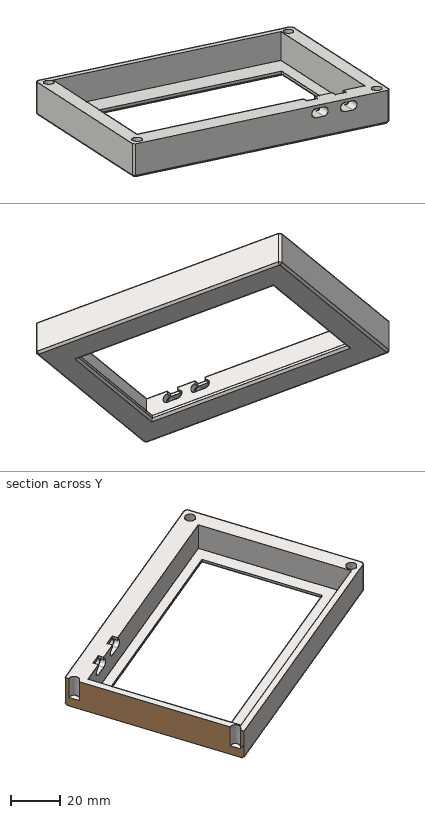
import cadquery as cq

width = 80.0
length = 120.0
height = 14.75
edge_chamfer = 1.0

pocket_x_min = -37.25
pocket_x_max = 31.1
pocket_length = 106.5
floor_thickness = 2.2

window_width = 53.7
window_length = 95.2

hole_diameter = 4.4
hole_inset = 4.0
hole_depth = 10.0

port_centres_y = (40.65, 27.15)
port_centre_z = 11.4
recess_length = 9.0
recess_height = 4.0
recess_depth = 2.4
notch_width = 5.0
opening_length = 7.6
opening_height = 4.0


def make_pocket():
    pocket_width = pocket_x_max - pocket_x_min
    pocket_centre_x = (pocket_x_max + pocket_x_min) / 2
    return (
        cq.Workplane("XY", origin=(pocket_centre_x, 0, floor_thickness))
        .rect(pocket_width, pocket_length)
        .extrude(height - floor_thickness)
    )


def make_window():
    return cq.Workplane("XY").rect(window_width, window_length).extrude(floor_thickness)


def make_frame():
    """Open frame with bevelled upright corners and a bevel round both edges of its bottom face."""
    block = cq.Workplane("XY").box(width, length, height, centered=(True, True, False))
    frame = block.edges("|Z").chamfer(edge_chamfer).cut(make_pocket()).cut(make_window())
    return frame.faces("<Z").edges().chamfer(edge_chamfer)


def make_screw_holes():
    return (
        cq.Workplane("XY", origin=(0, 0, height - hole_depth))
        .rect(width - 2 * hole_inset, length - 2 * hole_inset, forConstruction=True)
        .vertices()
        .circle(hole_diameter / 2)
        .extrude(hole_depth)
    )


def make_rounded_slot(centre_y, slot_length, slot_height, depth):
    """Slot with semicircular ends along Y, running from the pocket wall towards +X."""
    return (
        cq.Workplane("YZ", origin=(pocket_x_max, centre_y, port_centre_z))
        .slot2D(slot_length, slot_height)
        .extrude(depth)
    )


def make_notch(centre_y):
    notch_centre_x = pocket_x_max + recess_depth / 2
    return (
        cq.Workplane("XY", origin=(notch_centre_x, centre_y, port_centre_z))
        .rect(recess_depth, notch_width)
        .extrude(height - port_centre_z)
    )


def make_port(centre_y):
    wall_thickness = width / 2 - pocket_x_max
    recess = make_rounded_slot(centre_y, recess_length, recess_height, recess_depth)
    opening = make_rounded_slot(centre_y, opening_length, opening_height, wall_thickness)
    return recess.union(opening).union(make_notch(centre_y))


result = make_frame().cut(make_screw_holes())
for port_y in port_centres_y:
    result = result.cut(make_port(port_y))